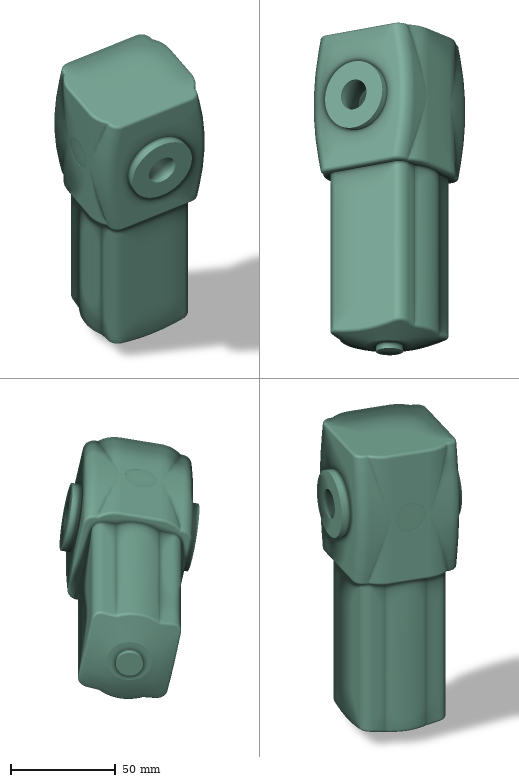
import cadquery as cq
import math

total_height = 155.1
head_height = 68.0
head_bottom = total_height - head_height
port_height = total_height - head_height / 2

head_width = 53.0
head_depth = 57.0
head_corner_radius = 5.3
head_edge_radius = 1.4
barrel_half_height = 27.0
barrel_setback = 2.8
band_flat_half_width = 10.1
band_round_radius = 15.0
band_round_angle = math.radians(60)

port_span = 62.0
port_diameter = 33.0
bore_diameter = 14.7
bore_depth = 15.5

seat_diameter = 15.5
seat_depth = 0.2

bowl_width = 43.7
bowl_depth = 49.5
bowl_corner_radius = 5.0
bulge_half_width = 10.7
bowl_edge_radius = 1.4

stem_diameter = 13.0
stem_length = 2.8
cone_flat_radius = 10.9
cone_angle = 16.0


def barrelled_columns():
    """Block whose front and back bow outwards, with rounded upright edges."""
    half_depth = head_depth / 2
    half_height = head_height / 2
    barrel_radius = (barrel_half_height**2 + barrel_setback**2) / (2 * barrel_setback)
    end_slope = math.tan(math.asin(barrel_half_height / barrel_radius))
    arc_end_y = half_depth - barrel_setback
    tip_y = arc_end_y - (half_height - barrel_half_height) * end_slope
    return (
        cq.Workplane("YZ", origin=(0, 0, port_height))
        .moveTo(-tip_y, half_height)
        .lineTo(tip_y, half_height)
        .lineTo(arc_end_y, barrel_half_height)
        .threePointArc((half_depth, 0), (arc_end_y, -barrel_half_height))
        .lineTo(tip_y, -half_height)
        .lineTo(-tip_y, -half_height)
        .lineTo(-arc_end_y, -barrel_half_height)
        .threePointArc((-half_depth, 0), (-arc_end_y, barrel_half_height))
        .close()
        .extrude(head_width / 2, both=True)
        .edges("not #Z")
        .fillet(head_corner_radius)
    )


def straight_band():
    """Upright band with flat front and back that round off towards the sides."""
    half_depth = head_depth / 2

    def rounding_point(angle):
        x = band_flat_half_width + band_round_radius * math.sin(angle)
        y = half_depth - band_round_radius * (1 - math.cos(angle))
        return (x, y)

    band_side_x, _ = rounding_point(band_round_angle)
    return (
        cq.Workplane("XY", origin=(0, 0, head_bottom))
        .moveTo(0, half_depth)
        .lineTo(band_flat_half_width, half_depth)
        .threePointArc(rounding_point(band_round_angle / 2), rounding_point(band_round_angle))
        .lineTo(band_side_x, 0)
        .mirrorX()
        .mirrorY()
        .extrude(head_height)
        .clean()
    )


def head():
    body = barrelled_columns().union(straight_band())
    return body.faces(">Z or <Z").edges().fillet(head_edge_radius)


def bowl():
    """Bowl body with a conical underside and rounded lower rim."""
    half_width = bowl_width / 2
    height = head_bottom - stem_length
    square = (
        cq.Workplane("XY", origin=(0, 0, stem_length))
        .rect(bowl_width, bowl_width)
        .extrude(height)
        .edges("|Z")
        .fillet(bowl_corner_radius)
    )
    bulges = (
        cq.Workplane("XY", origin=(0, 0, stem_length))
        .moveTo(-bulge_half_width, half_width)
        .threePointArc((0, bowl_depth / 2), (bulge_half_width, half_width))
        .lineTo(bulge_half_width, -half_width)
        .threePointArc((0, -bowl_depth / 2), (-bulge_half_width, -half_width))
        .close()
        .extrude(height)
    )
    envelope_radius = bowl_width
    rise = (envelope_radius - cone_flat_radius) * math.tan(math.radians(cone_angle))
    envelope = (
        cq.Workplane("XZ")
        .moveTo(0, stem_length)
        .lineTo(cone_flat_radius, stem_length)
        .lineTo(envelope_radius, stem_length + rise)
        .lineTo(envelope_radius, head_bottom)
        .lineTo(0, head_bottom)
        .close()
        .revolve(360, (0, 0, 0), (0, 1, 0))
    )
    body = square.union(bulges).intersect(envelope)
    return body.faces("%CONE").edges("(not %LINE) and (not <Z)").fillet(bowl_edge_radius)


def x_cylinder(diameter, length, x_start):
    return (
        cq.Workplane("YZ", origin=(x_start, 0, port_height))
        .circle(diameter / 2)
        .extrude(length)
    )


stem = cq.Workplane("XY").circle(stem_diameter / 2).extrude(2 * stem_length)
ports = x_cylinder(port_diameter, port_span, -port_span / 2)
seat = (
    cq.Workplane("XZ", origin=(0, -head_depth / 2, port_height))
    .circle(seat_diameter / 2)
    .extrude(-seat_depth)
)

result = head().union(bowl()).union(stem).union(ports).cut(seat)
for bore_start in (-port_span / 2, port_span / 2 - bore_depth):
    result = result.cut(x_cylinder(bore_diameter, bore_depth, bore_start))